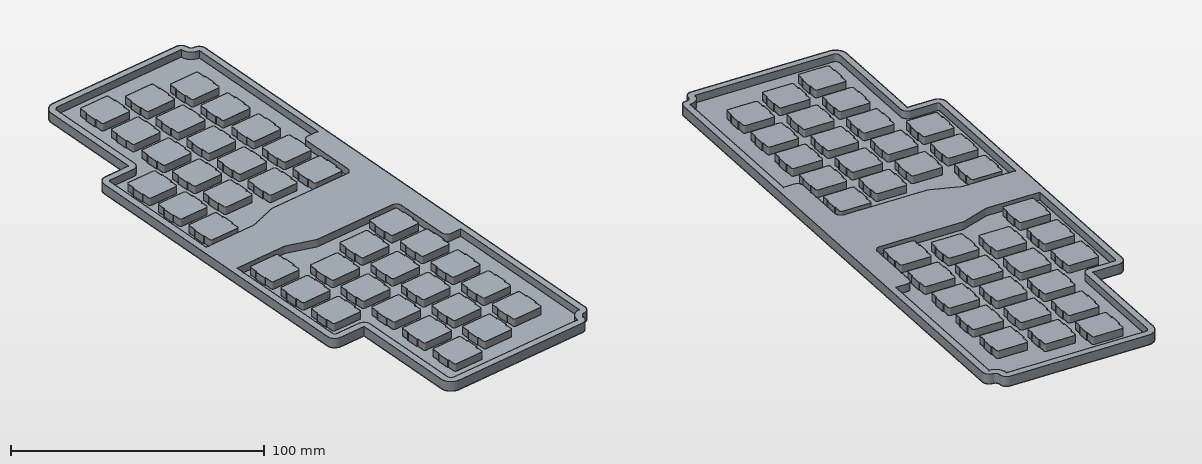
import cadquery as cq

length = 251.5
width = 91.5
thickness = 4.5
shoulder_y = -30.2
foot_half_length = 73.0
corner_notch = 5.0
notch_edge_radius = 3.0
notch_inner_radius = corner_notch - notch_edge_radius
shoulder_radius = 5.0
foot_radius = 3.8

rim = 3.0
pocket_depth = 3.5
bridge_step_x = 44.3
bridge_step_y = 35.2
bridge_neck_x = 14.0
bridge_foot_x = 9.5
bridge_taper_top_y = -5.5
bridge_taper_bottom_y = -18.4
bridge_radius = 2.5

key_size = 14.0
key_corner_radius = 0.8
key_tab_length = 5.8
key_tab_depth = 0.38
row_span = 76.0
key_pitch = row_span / 4
top_row_y = 25.7
key_rows = [(5, 1.25), (5, 1.5), (5, 1.75), (3, 1.0)]

half_length = length / 2
half_width = width / 2
floor_z = thickness - pocket_depth


def mirror_x(solid):
    """Return the solid together with its mirror image across the YZ plane."""
    return solid.union(solid.mirror("YZ"))


def fillet_at(solid, x, y, radius):
    """Round the vertical edge nearest to (x, y)."""
    return solid.edges(cq.selectors.NearestToPointSelector((x, y, thickness / 2))).fillet(radius)


def make_plate_half():
    """Build the left half of the plate with its stepped and rounded outline."""
    notch_x = half_length - corner_notch
    notch_y = half_width - corner_notch
    half = (
        cq.Workplane("XY")
        .moveTo(0, half_width)
        .lineTo(-notch_x + notch_edge_radius, half_width)
        .radiusArc((-notch_x, half_width - notch_edge_radius), -notch_edge_radius)
        .radiusArc((-notch_x - notch_inner_radius, notch_y), notch_inner_radius)
        .radiusArc((-half_length, notch_y - notch_edge_radius), -notch_edge_radius)
        .lineTo(-half_length, shoulder_y)
        .lineTo(-foot_half_length, shoulder_y)
        .lineTo(-foot_half_length, -half_width)
        .lineTo(0, -half_width)
        .close()
        .extrude(thickness)
    )
    half = fillet_at(half, -half_length, shoulder_y, shoulder_radius)
    return fillet_at(half, -foot_half_length, -half_width, foot_radius)


def make_pocket():
    """Build the left pocket as a solid, set one rim inside the plate outline."""
    left = -half_length + rim
    top = half_width - rim
    shoulder = shoulder_y + rim
    foot_left = -foot_half_length + rim
    bottom = -half_width + rim
    pocket = (
        cq.Workplane("XY")
        .moveTo(left + corner_notch, top)
        .lineTo(-bridge_step_x, top)
        .lineTo(-bridge_step_x, bridge_step_y)
        .lineTo(-bridge_neck_x, bridge_step_y)
        .lineTo(-bridge_neck_x, bridge_taper_top_y)
        .lineTo(-bridge_foot_x, bridge_taper_bottom_y)
        .lineTo(-bridge_foot_x, bottom)
        .lineTo(foot_left, bottom)
        .lineTo(foot_left, shoulder)
        .lineTo(left, shoulder)
        .lineTo(left, top - corner_notch)
        .radiusArc((left + corner_notch, top), -corner_notch)
        .close()
        .extrude(thickness)
    )
    rounded_corners = [
        (-bridge_step_x, bridge_step_y, bridge_radius),
        (-bridge_neck_x, bridge_step_y, bridge_radius),
        (-bridge_neck_x, bridge_taper_top_y, bridge_radius),
        (-bridge_foot_x, bridge_taper_bottom_y, bridge_radius),
        (foot_left, shoulder, rim),
        (foot_left, bottom, foot_radius - rim),
        (left, shoulder, shoulder_radius - rim),
    ]
    for x, y, radius in rounded_corners:
        pocket = fillet_at(pocket, x, y, radius)
    return pocket.translate((0, 0, floor_z))


def make_keys():
    """Build the left key blocks, level with the plate top, with their shallow tabs."""
    centers = [
        (-(inner + column) * key_pitch, top_row_y - row * key_pitch)
        for row, (count, inner) in enumerate(key_rows)
        for column in range(count)
    ]
    base = cq.Workplane("XY").pushPoints(centers)
    blocks = base.rect(key_size, key_size).extrude(thickness).edges("|Z").fillet(key_corner_radius)
    tabs = base.rect(key_tab_length, key_size + 2 * key_tab_depth).extrude(thickness)
    return blocks.union(tabs)


half_body = make_plate_half().cut(make_pocket().cut(make_keys()))
result = mirror_x(half_body)